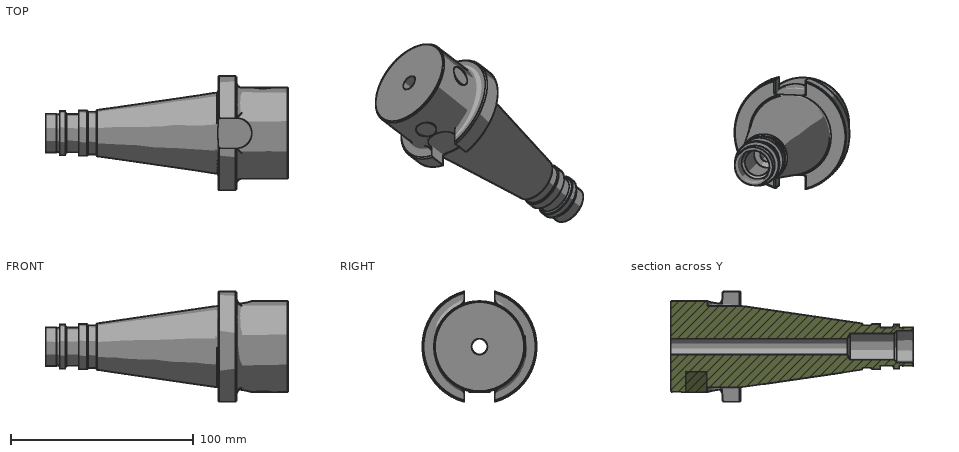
import cadquery as cq
import math

arc_mid = 1 - math.sqrt(0.5)

length = 133.4
flange_front = 94.8
flange_width = 10.1
flange_rear = flange_front + flange_width

nose_radius = 10.7
undercut_start = 5.7
undercut_end = 7.1
undercut_depth = 0.3
undercut_ramp = 0.5
undercut_radius = nose_radius - undercut_depth
collar_fillet = 0.7
front_collar_radius = 12.3
front_collar_start = undercut_end + collar_fillet
front_collar_end = 10.8
groove_start = 11.7
groove_radius = 10.5
rear_collar_radius = 12.5
rear_collar_start = 18.1
rear_collar_end = 22.7
relief_start = 23.3
relief_radius = 11.9
relief_end = 27.7

taper_ratio = 7 / 24
taper_start = 28.3
taper_end = 93.2
taper_end_radius = 22.3
taper_start_radius = taper_end_radius - (taper_end - taper_start) * taper_ratio / 2
neck_flare = 0.8
neck_start = flange_front - neck_flare

flange_radius = 31.5
flange_front_chamfer = 0.5
flange_rear_chamfer = 0.8
body_radius = 25.1
body_fillet = 2.8
body_chamfer = 0.7

mouth_radius = 9.6
mouth_rounding = 1.0
pilot_radius = mouth_radius - mouth_rounding
pilot_depth = 9.1
tap_radius = 7.2
tap_depth = 34.7
through_radius = 4.3
drill_half_angle = 60

slot_half_width = 8.3
slot_floor = 22.4
slot_mouth_chamfer = 0.8
slot_fillet = 0.8

screw_radius = 5.6
screw_length = 11.2
screw_end_distance = 14.1
screw_x = length - screw_end_distance


def make_turned_blank():
    """Outer shape of the holder without the body fillet, revolved about X."""
    profile = (
        cq.Workplane("XZ")
        .moveTo(0, 0)
        .lineTo(0, nose_radius)
        .lineTo(undercut_start, nose_radius)
        .lineTo(undercut_start + undercut_ramp, undercut_radius)
        .lineTo(undercut_end, undercut_radius)
        .threePointArc(
            (front_collar_start - arc_mid * collar_fillet, undercut_radius + arc_mid * collar_fillet),
            (front_collar_start, undercut_radius + collar_fillet),
        )
        .lineTo(front_collar_start, front_collar_radius)
        .lineTo(front_collar_end, front_collar_radius)
        .lineTo(front_collar_end, groove_radius + (groove_start - front_collar_end))
        .lineTo(groove_start, groove_radius)
        .lineTo(rear_collar_start, groove_radius)
        .lineTo(rear_collar_start, rear_collar_radius)
        .lineTo(rear_collar_end, rear_collar_radius)
        .lineTo(relief_start, relief_radius)
        .lineTo(relief_end, relief_radius)
        .lineTo(taper_start, taper_start_radius)
        .lineTo(taper_end, taper_end_radius)
        .lineTo(neck_start, taper_end_radius)
        .threePointArc(
            (flange_front - arc_mid * neck_flare, taper_end_radius + arc_mid * neck_flare),
            (flange_front, taper_end_radius + neck_flare),
        )
        .lineTo(flange_front, flange_radius - flange_front_chamfer)
        .lineTo(flange_front + flange_front_chamfer, flange_radius)
        .lineTo(flange_rear - flange_rear_chamfer, flange_radius)
        .lineTo(flange_rear, flange_radius - flange_rear_chamfer)
        .lineTo(flange_rear, body_radius)
        .lineTo(length - body_chamfer, body_radius)
        .lineTo(length, body_radius - body_chamfer)
        .lineTo(length, 0)
        .close()
    )
    return profile.revolve(360, (0, 0, 0), (1, 0, 0))


def make_bore():
    """Rounded mouth, pilot bore with 45 degree lead-in, tapping hole with drill cone, and through hole."""
    lead_in = pilot_radius - tap_radius
    cone_length = (tap_radius - through_radius) / math.tan(math.radians(drill_half_angle))
    profile = (
        cq.Workplane("XZ")
        .moveTo(0, 0)
        .lineTo(0, mouth_radius)
        .threePointArc(
            (arc_mid * mouth_rounding, pilot_radius + arc_mid * mouth_rounding),
            (mouth_rounding, pilot_radius),
        )
        .lineTo(pilot_depth, pilot_radius)
        .lineTo(pilot_depth + lead_in, tap_radius)
        .lineTo(tap_depth, tap_radius)
        .lineTo(tap_depth + cone_length, through_radius)
        .lineTo(length, through_radius)
        .lineTo(length, 0)
        .close()
    )
    return profile.revolve(360, (0, 0, 0), (1, 0, 0))


def make_drive_slot():
    """Cutter for the +Z drive slot: chamfered mouth, round end, filleted floor."""
    mouth_half_width = slot_half_width + slot_mouth_chamfer
    straight_start = flange_front + slot_mouth_chamfer
    cutter = (
        cq.Workplane("XY")
        .workplane(offset=slot_floor)
        .moveTo(neck_start, -mouth_half_width)
        .lineTo(flange_front, -mouth_half_width)
        .lineTo(straight_start, -slot_half_width)
        .lineTo(flange_rear, -slot_half_width)
        .threePointArc((flange_rear + slot_half_width, 0), (flange_rear, slot_half_width))
        .lineTo(straight_start, slot_half_width)
        .lineTo(flange_front, mouth_half_width)
        .lineTo(neck_start, mouth_half_width)
        .close()
        .extrude(flange_radius - slot_floor)
    )
    return cutter.faces("<Z").edges("not <X").fillet(slot_fillet)


def make_body_fillet():
    """Fillet ring behind the flange, cut away at 45 degrees on both sides of each slot."""
    root_radius = body_radius - body_fillet
    ring_end = flange_rear + body_fillet
    wide_half_width = slot_half_width + body_fillet
    ring = (
        cq.Workplane("XZ")
        .moveTo(flange_rear, root_radius)
        .lineTo(flange_rear, body_radius + body_fillet)
        .threePointArc(
            (flange_rear + arc_mid * body_fillet, body_radius + arc_mid * body_fillet),
            (ring_end, body_radius),
        )
        .lineTo(ring_end, root_radius)
        .close()
        .revolve(360, (0, 0, 0), (1, 0, 0))
    )
    gap = (
        cq.Workplane("XY")
        .moveTo(flange_rear, -slot_half_width)
        .lineTo(ring_end, -wide_half_width)
        .lineTo(ring_end, wide_half_width)
        .lineTo(flange_rear, slot_half_width)
        .close()
        .extrude(flange_radius, both=True)
    )
    return ring.cut(gap)


def make_screw():
    """Flat-ended screw along +Y, its end level with the body's outer radius."""
    return (
        cq.Workplane("XZ", origin=(screw_x, body_radius, 0))
        .circle(screw_radius)
        .extrude(screw_length)
    )


def make_holder(screws):
    holder = make_turned_blank().union(make_body_fillet()).cut(make_bore())
    slot = make_drive_slot()
    for angle in (0, 180):
        holder = holder.cut(slot.rotate((0, 0, 0), (1, 0, 0), angle))
    for screw in screws:
        holder = holder.cut(screw)
    return holder


screws = [make_screw().rotate((0, 0, 0), (1, 0, 0), angle) for angle in (0, -90)]
holder = make_holder(screws)

result = cq.Compound.makeCompound([holder.solids().val(), *[screw.val() for screw in screws]])